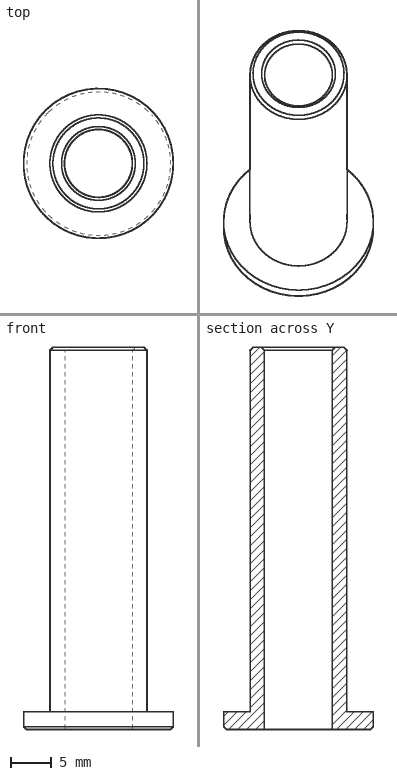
import cadquery as cq

total_height = 47.2
flange_diameter = 18.5
flange_thickness = 2.2
tube_diameter = 12.0
bore_diameter = 8.35
edge_chamfer = 0.4

flange = cq.Workplane("XY").circle(flange_diameter / 2).extrude(flange_thickness)
flange = flange.faces("<Z").edges().chamfer(edge_chamfer)

tube = cq.Workplane("XY").circle(tube_diameter / 2).extrude(total_height)

bushing = flange.union(tube)
bushing = bushing.faces(">Z").workplane().hole(bore_diameter)

result = bushing.faces(">Z").edges().chamfer(edge_chamfer)